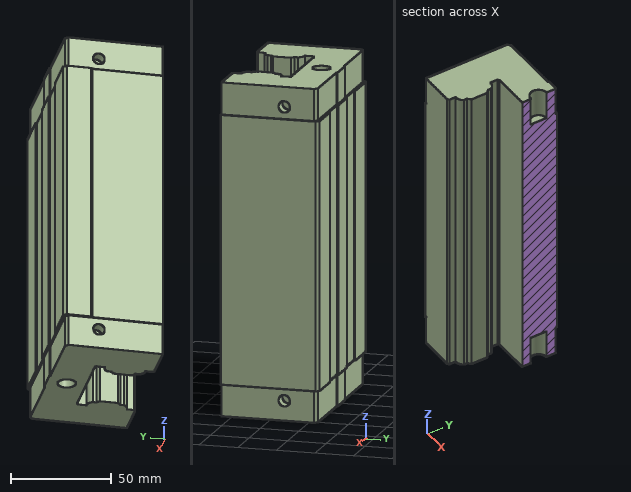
import cadquery as cq
import math

LENGTH = 171.5
WIDTH = 86.0
HEIGHT = 50.8

CAP_LENGTH = 16.5
CAP_WIDTH = 83.7
CAP_HEIGHT = 49.5
CAP_BAND_WIDTH = 13.0
BLOCK_LENGTH = LENGTH - 2 * CAP_LENGTH
CORNER_CHAMFER = 1.5

FLANK_RELIEF = 0.5
FLANK_TOP = 36.9
FLANK_SLOPE_HEIGHT = 0.9

CENTER_PAD_HALF_WIDTH = 7.5
SIDE_PAD_INNER_X = 22.3
GROOVE_DEPTH = 0.7

CHANNEL_TOP = 30.0
CHANNEL_HALF_WIDTH = 21.5
CEILING_CHAMFER = 0.7
MOUTH_CHAMFER_WIDTH = 1.0
MOUTH_CHAMFER_HEIGHT = 0.7

LOBE_Y = 14.7
LOBE_HALF_HEIGHT = 10.3
LOBE_PROJECTION = 4.1
LOBE_LEDGE = 0.5
LOBE_ROUND_RADIUS = 4.0
NOSE_PROJECTION = 1.7
NOSE_BASE_HALF_HEIGHT = 6.2
NOSE_TIP_HALF_HEIGHT = 4.6

END_HOLE_DIAMETER = 9.1
END_HOLE_Y = 39.8
SIDE_HOLE_DIAMETER = 5.8
SIDE_HOLE_Y = 32.5
SIDE_HOLE_FROM_END = 10.3
SIDE_HOLE_DEPTH = 6.9


def make_block():
    """Steel block with chamfered top corners and a relieved lower -X flank."""
    half_width = WIDTH / 2
    relieved_x = -half_width + FLANK_RELIEF
    outline = [
        (half_width, 0),
        (half_width, HEIGHT - CORNER_CHAMFER),
        (half_width - CORNER_CHAMFER, HEIGHT),
        (-half_width + CORNER_CHAMFER, HEIGHT),
        (-half_width, HEIGHT - CORNER_CHAMFER),
        (-half_width, FLANK_TOP),
        (relieved_x, FLANK_TOP - FLANK_SLOPE_HEIGHT),
        (relieved_x, 0),
    ]
    return cq.Workplane("XY").polyline(outline).close().extrude(BLOCK_LENGTH / 2, both=True)


def make_caps_core():
    """Smaller section running the full length; its ends form the end caps.

    Its raised middle band is level with the groove floors of the block.
    """
    centered = (True, False, True)
    core = cq.Workplane("XY").box(CAP_WIDTH, CAP_HEIGHT, LENGTH, centered=centered)
    core = core.edges("|Z and >Y").chamfer(CORNER_CHAMFER)
    raised_band = cq.Workplane("XY").box(
        CAP_BAND_WIDTH, HEIGHT - GROOVE_DEPTH, LENGTH, centered=centered
    )
    return core.union(raised_band)


def make_face_grooves():
    """Two shallow grooves in the mounting face of the block."""
    groove_width = SIDE_PAD_INNER_X - CENTER_PAD_HALF_WIDTH
    groove_x = (SIDE_PAD_INNER_X + CENTER_PAD_HALF_WIDTH) / 2
    return (
        cq.Workplane("XY")
        .pushPoints([(-groove_x, HEIGHT), (groove_x, HEIGHT)])
        .rect(groove_width, 2 * GROOVE_DEPTH)
        .extrude(LENGTH / 2, both=True)
    )


def make_channel():
    """Plain rail channel with a chamfered mouth and chamfered ceiling corners."""
    right_side = [
        (CHANNEL_HALF_WIDTH + MOUTH_CHAMFER_WIDTH, 0),
        (CHANNEL_HALF_WIDTH, MOUTH_CHAMFER_HEIGHT),
        (CHANNEL_HALF_WIDTH, CHANNEL_TOP - CEILING_CHAMFER),
        (CHANNEL_HALF_WIDTH - CEILING_CHAMFER, CHANNEL_TOP),
    ]
    left_side = [(-x, y) for x, y in reversed(right_side)]
    channel = cq.Workplane("XY").polyline(right_side + left_side).close()
    return channel.extrude(LENGTH / 2, both=True)


def make_right_lobe():
    """Rounded lobe with a tapered nose, standing on the +X channel wall."""
    root_x = CHANNEL_HALF_WIDTH + LOBE_PROJECTION
    ledge_x = CHANNEL_HALF_WIDTH - LOBE_LEDGE
    shoulder_x = CHANNEL_HALF_WIDTH - LOBE_PROJECTION
    nose_x = shoulder_x - NOSE_PROJECTION

    arc_angle = math.asin((ledge_x - shoulder_x) / LOBE_ROUND_RADIUS)
    arc_drop = LOBE_ROUND_RADIUS * (1 - math.cos(arc_angle))
    arc_mid_x = ledge_x - LOBE_ROUND_RADIUS * math.sin(arc_angle / 2)
    arc_mid_drop = LOBE_ROUND_RADIUS * (1 - math.cos(arc_angle / 2))

    lobe_top = LOBE_Y + LOBE_HALF_HEIGHT
    lobe_bottom = LOBE_Y - LOBE_HALF_HEIGHT
    return (
        cq.Workplane("XY")
        .moveTo(root_x, lobe_top)
        .lineTo(ledge_x, lobe_top)
        .threePointArc((arc_mid_x, lobe_top - arc_mid_drop), (shoulder_x, lobe_top - arc_drop))
        .lineTo(shoulder_x, LOBE_Y + NOSE_BASE_HALF_HEIGHT)
        .lineTo(nose_x, LOBE_Y + NOSE_TIP_HALF_HEIGHT)
        .lineTo(nose_x, LOBE_Y - NOSE_TIP_HALF_HEIGHT)
        .lineTo(shoulder_x, LOBE_Y - NOSE_BASE_HALF_HEIGHT)
        .lineTo(shoulder_x, lobe_bottom + arc_drop)
        .threePointArc((arc_mid_x, lobe_bottom + arc_mid_drop), (ledge_x, lobe_bottom))
        .lineTo(root_x, lobe_bottom)
        .close()
        .extrude(LENGTH / 2, both=True)
    )


def make_cap_holes():
    """Holes of the +Z cap: one in its end face and one in each flank."""
    holes = (
        cq.Workplane("XY", origin=(0, END_HOLE_Y, LENGTH / 2 - CAP_LENGTH))
        .circle(END_HOLE_DIAMETER / 2)
        .extrude(CAP_LENGTH)
    )
    for side in (-1, 1):
        flank_point = (side * CAP_WIDTH / 2, SIDE_HOLE_Y, LENGTH / 2 - SIDE_HOLE_FROM_END)
        side_hole = (
            cq.Workplane("YZ", origin=flank_point)
            .circle(SIDE_HOLE_DIAMETER / 2)
            .extrude(-side * SIDE_HOLE_DEPTH)
        )
        holes = holes.union(side_hole)
    return holes


right_lobe = make_right_lobe()
lobes = right_lobe.union(right_lobe.mirror("YZ"))
cap_holes = make_cap_holes()

result = make_block().cut(make_face_grooves()).union(make_caps_core())
result = result.cut(make_channel()).union(lobes)
result = result.cut(cap_holes).cut(cap_holes.mirror("XY"))